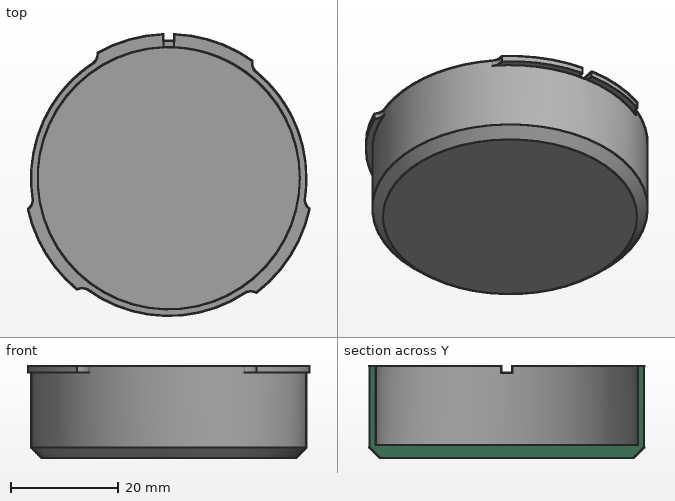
import cadquery as cq
import math

height = 17.25
body_radius = 51.5 / 2
bore_radius = 49 / 2
floor_thickness = 2.5
base_chamfer = 2.0

tab_radius = 53.9 / 2
tab_thickness = 1.25
tab_root_radius = 2.2
tab_spans = [(54.5, 119.6), (192.4, 230.5), (307.4, 347.7)]

slot_width = 2.0
slot_depth = tab_thickness

root_centre_radius = body_radius + tab_root_radius
root_angle = math.degrees(math.acos(
    (root_centre_radius**2 + tab_radius**2 - tab_root_radius**2)
    / (2 * root_centre_radius * tab_radius)
))


def polar(radius, angle):
    """Point at the given radius and angle in degrees."""
    a = math.radians(angle)
    return radius * math.cos(a), radius * math.sin(a)


def root_arc_middle(tip_angle, side):
    """Middle of the root arc; side is +1 after the tab end, -1 before its start."""
    centre_angle = tip_angle + side * root_angle
    cx, cy = polar(root_centre_radius, centre_angle)
    tip_x, tip_y = polar(tab_radius, tip_angle)
    foot_x, foot_y = polar(body_radius, centre_angle)
    dx = (tip_x + foot_x) / 2 - cx
    dy = (tip_y + foot_y) / 2 - cy
    scale = tab_root_radius / math.hypot(dx, dy)
    return cx + dx * scale, cy + dy * scale


def make_body():
    """Solid round body with a chamfered base."""
    return (
        cq.Workplane("XY")
        .circle(body_radius)
        .extrude(height)
        .faces("<Z")
        .edges()
        .chamfer(base_chamfer)
    )


def make_tab(start, end):
    """Rim sector with hollow arcs at both ends, reaching in to the cup axis."""
    return (
        cq.Workplane("XY", origin=(0, 0, height - tab_thickness))
        .lineTo(*polar(body_radius, start - root_angle))
        .threePointArc(root_arc_middle(start, -1), polar(tab_radius, start))
        .threePointArc(polar(tab_radius, (start + end) / 2), polar(tab_radius, end))
        .threePointArc(root_arc_middle(end, 1), polar(body_radius, end + root_angle))
        .close()
        .extrude(tab_thickness)
    )


def make_bore():
    """Round cavity, open at the top."""
    return (
        cq.Workplane("XY", origin=(0, 0, floor_thickness))
        .circle(bore_radius)
        .extrude(height - floor_thickness)
    )


def make_slot():
    """Radial cutter running from the axis out past the tab edge."""
    return (
        cq.Workplane("XY", origin=(0, 0, height - slot_depth))
        .box(slot_width, root_centre_radius, slot_depth, centered=(True, False, False))
    )


result = make_body()
for span_start, span_end in tab_spans:
    result = result.union(make_tab(span_start, span_end))
result = result.cut(make_bore()).cut(make_slot())